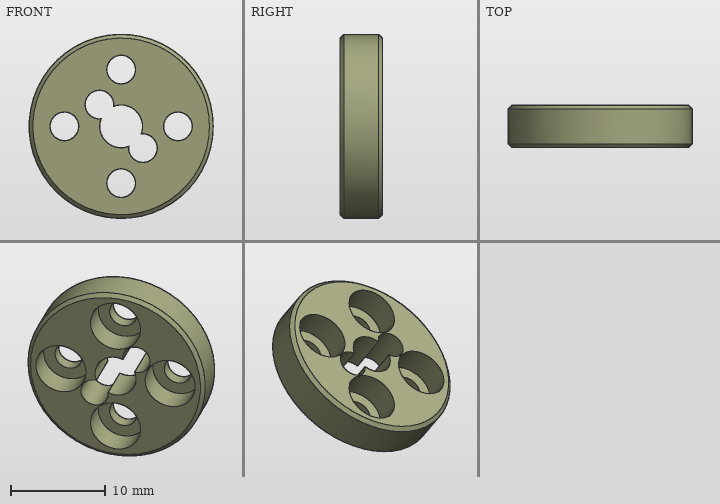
import cadquery as cq

disc_diameter = 19.5
thickness = 4.5
rim_chamfer = 0.4
center_bore_diameter = 4.5
small_hole_diameter = 3.0
bolt_circle_radius = 6.0
counterbore_diameter = 5.5
counterbore_floor = 1.5
lobe_offset = 2.3


def chamfered_disc():
    """Disc along Y, centred on the origin, with both rims chamfered."""
    back_plane = cq.Workplane("XZ", origin=(0, thickness / 2, 0))
    disc = back_plane.circle(disc_diameter / 2).extrude(thickness)
    return disc.edges().chamfer(rim_chamfer)


def drill(body, points, diameter, depth=thickness):
    """Cut holes along Y from the back face at the given (X, Z) points."""
    cutters = (
        cq.Workplane("XZ", origin=(0, thickness / 2, 0))
        .pushPoints(points)
        .circle(diameter / 2)
        .extrude(depth)
    )
    return body.cut(cutters)


bolt_points = [
    (bolt_circle_radius, 0),
    (0, bolt_circle_radius),
    (-bolt_circle_radius, 0),
    (0, -bolt_circle_radius),
]

lobe_points = [(-lobe_offset, lobe_offset), (lobe_offset, -lobe_offset)]

result = chamfered_disc()
result = drill(result, [(0, 0)], center_bore_diameter)
result = drill(result, lobe_points, small_hole_diameter)
result = drill(result, bolt_points, small_hole_diameter)
result = drill(result, bolt_points, counterbore_diameter, thickness - counterbore_floor)